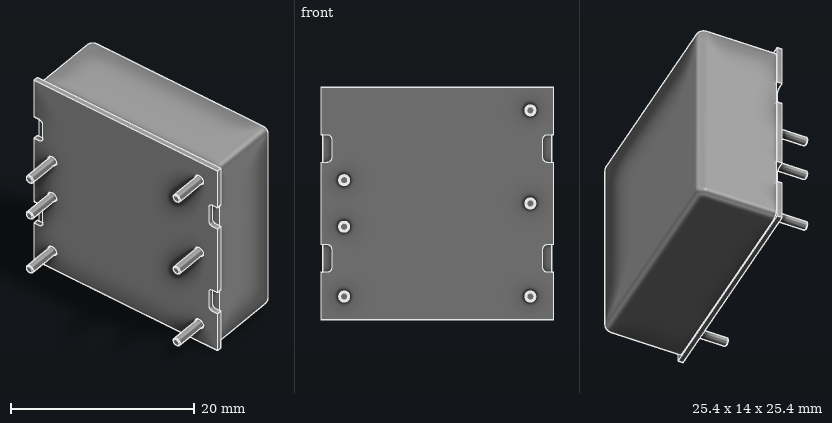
import cadquery as cq

plate_size = 25.4
plate_thickness = 0.6
body_depth = 9.9

can_inset = 0.2
can_size = plate_size - 2 * can_inset
can_radius = 1.0

notch_depth = 1.2
notch_height = 3.0
notch_spacing = 12.0
notch_corner_radius = 0.5

pin_pitch = 2.55
pin_diameter = 1.0
pin_length = 4.1
pin_chamfer = 0.1
pin_grid_places = [(4, 4), (4, 0), (4, -4), (-4, 1), (-4, -1), (-4, -4)]

clearance_diameter = 1.2


def make_plate():
    plate = cq.Workplane("XY").box(plate_size, plate_thickness, plate_size, centered=(True, False, True))
    notch_centers = [
        (side * plate_size / 2, level * notch_spacing / 2) for side in (-1, 1) for level in (-1, 1)
    ]
    notches = (
        cq.Workplane("XZ")
        .pushPoints(notch_centers)
        .rect(2 * notch_depth, notch_height)
        .extrude(-plate_thickness)
        .edges("|Y")
        .fillet(notch_corner_radius)
    )
    return plate.cut(notches)


def make_can():
    can = (
        cq.Workplane("XY")
        .box(can_size, body_depth - plate_thickness, can_size, centered=(True, False, True))
        .translate((0, plate_thickness, 0))
    )
    return can.edges("|Y or >Y").fillet(can_radius)


def make_pin(x, z):
    return (
        cq.Workplane("XZ", origin=(x, plate_thickness, z))
        .circle(pin_diameter / 2)
        .extrude(plate_thickness + pin_length)
        .faces("<Y")
        .chamfer(pin_chamfer)
    )


def make_clearance(x, z):
    return cq.Workplane("XZ", origin=(x, 0, z)).circle(clearance_diameter / 2).extrude(-plate_thickness)


result = make_plate().union(make_can())
for column, row in pin_grid_places:
    pin_x = column * pin_pitch
    pin_z = row * pin_pitch
    result = result.cut(make_clearance(pin_x, pin_z)).union(make_pin(pin_x, pin_z))